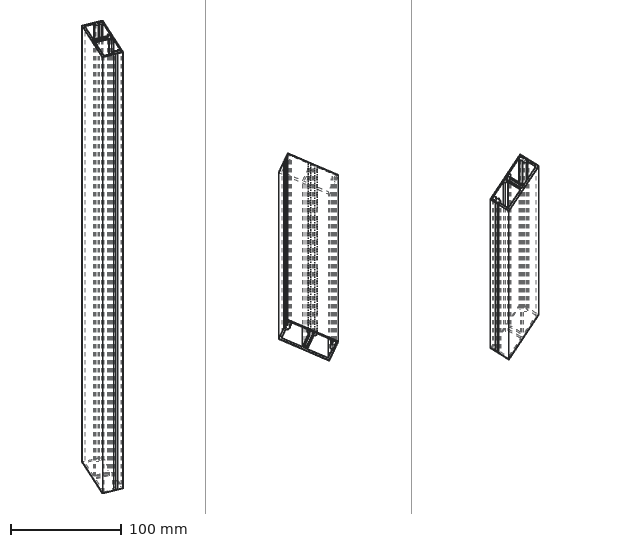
import cadquery as cq

length = 500.0
width = 50.0
depth = 20.0
half_width = width / 2
front = -depth / 2
back = depth / 2

wall = 2.0
lid_wall = 1.0
lip_wall = 1.5

lip_depth = 9.0
arm_root = 3.5
bead_reach = 5.0
neck_reach = 3.5
lower_bead_drop = 6.0
neck_drop = 4.5
upper_bead_drop = 3.0

barb_skin = 0.5
barb_top_drop = 5.0
barb_bottom_drop = 7.0

leg_outer = 2.5
leg_wall = 1.5
head_outer = 4.5
head_gap = 4.0
head_drop = 4.5

lid_inner = back - lid_wall
lip_end = back - lip_depth
lip_face = lip_wall - half_width
notch_floor = barb_skin - half_width

parting_line = [
    (lip_face, lip_end),
    (lip_face, back - barb_bottom_drop),
    (notch_floor, back - barb_bottom_drop),
    (notch_floor, back - barb_top_drop),
    (lip_face, back - barb_top_drop),
    (lip_face, lid_inner),
]


def mirrored(points):
    """Reflect a left-hand outline into the right half, keeping the path order."""
    return [(-x, y) for x, y in reversed(points)]


def extrude_outline(points):
    """Closed outline in XY extruded along the trunking and centred on Z."""
    return cq.Workplane("XY").polyline(points).close().extrude(length / 2, both=True)


def make_base():
    """Channel with beaded snap arms and a forked central divider."""
    left_side = -half_width
    head_start = back - head_drop
    left_half = [
        (left_side, front),
        (left_side, lip_end),
        *parting_line,
        (left_side + arm_root, lid_inner),
        (left_side + bead_reach, back - upper_bead_drop),
        (left_side + neck_reach, back - neck_drop),
        (left_side + bead_reach, back - lower_bead_drop),
        (left_side + arm_root, lip_end),
        (left_side + wall, lip_end),
        (left_side + wall, front + wall),
        (-leg_outer, front + wall),
        (-leg_outer, head_start),
        (-head_outer, back - upper_bead_drop),
        (-head_outer, lid_inner),
        (-head_gap / 2, lid_inner),
        (-head_gap / 2, head_start),
        (leg_wall - leg_outer, head_start),
        (leg_wall - leg_outer, front + wall),
    ]
    return extrude_outline(left_half + mirrored(left_half))


def make_lid():
    """Flat cover whose two lips wrap the outside of the snap arms."""
    left_half = [
        (-half_width, back),
        (-half_width, lip_end),
        *parting_line,
    ]
    return extrude_outline(left_half + mirrored(left_half))


base = make_base()
lid = make_lid()

result = cq.Compound.makeCompound([base.val(), lid.val()])